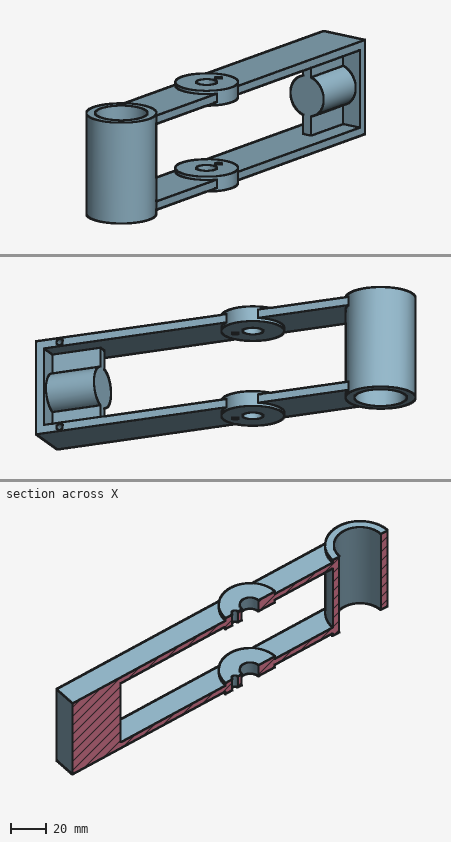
import cadquery as cq

overall_length = 229.0
tube_diameter = 40.0
tube_bore = 30.0
tube_height = 60.0
arm_width = 30.0
frame_height = 56.0
wall = 5.0
frame_end = overall_length - tube_diameter / 2
inner_height = frame_height - 2 * wall
arm_center_z = (frame_height - wall) / 2

disc_y = 80.0
disc_diameter = 36.0
disc_thickness = 9.0
pivot_hole = 12.0
index_hole = 4.0
index_offset = 11.0
disc_center_z = (tube_height - disc_thickness) / 2

boss_diameter = 24.0
boss_length = 30.0
rib_thickness = 6.0

edge_hole = 4.0
edge_hole_depth = 10.0
edge_hole_inset = 14.9


def cylinder_z(diameter, height, y=0, z=0):
    """Vertical cylinder centred on height z."""
    base = cq.Workplane("XY", origin=(0, y, z - height / 2))
    return base.circle(diameter / 2).extrude(height)


def block(width, y_start, y_end, height):
    """Box centred in X and Z, spanning the given Y range."""
    center_y = (y_start + y_end) / 2
    return cq.Workplane("XY").box(width, y_end - y_start, height).translate((0, center_y, 0))


def make_frame():
    """Two arms joined by the end wall."""
    outer = block(arm_width, 0, frame_end, frame_height)
    opening = block(arm_width, 0, frame_end - wall, inner_height)
    return outer.cut(opening)


def make_boss():
    """Horizontal boss with a rib reaching both arms."""
    wall_face = frame_end - wall
    boss_plane = cq.Workplane("XZ", origin=(0, wall_face, 0))
    boss = boss_plane.circle(boss_diameter / 2).extrude(boss_length)
    rib = block(rib_thickness, wall_face - boss_length, wall_face, inner_height)
    return boss.union(rib)


result = make_frame().union(make_boss())
result = result.union(cylinder_z(tube_diameter, tube_height))
result = result.cut(cylinder_z(tube_bore, tube_height))

for side in (-1, 1):
    disc_z = side * disc_center_z
    result = result.union(cylinder_z(disc_diameter, disc_thickness, disc_y, disc_z))
    result = result.cut(cylinder_z(pivot_hole, disc_thickness, disc_y, disc_z))
    result = result.cut(cylinder_z(index_hole, disc_thickness, disc_y + index_offset, disc_z))

    edge_center = (-arm_width / 2, frame_end - edge_hole_inset, side * arm_center_z)
    edge_plane = cq.Workplane("YZ", origin=edge_center)
    result = result.cut(edge_plane.circle(edge_hole / 2).extrude(edge_hole_depth))